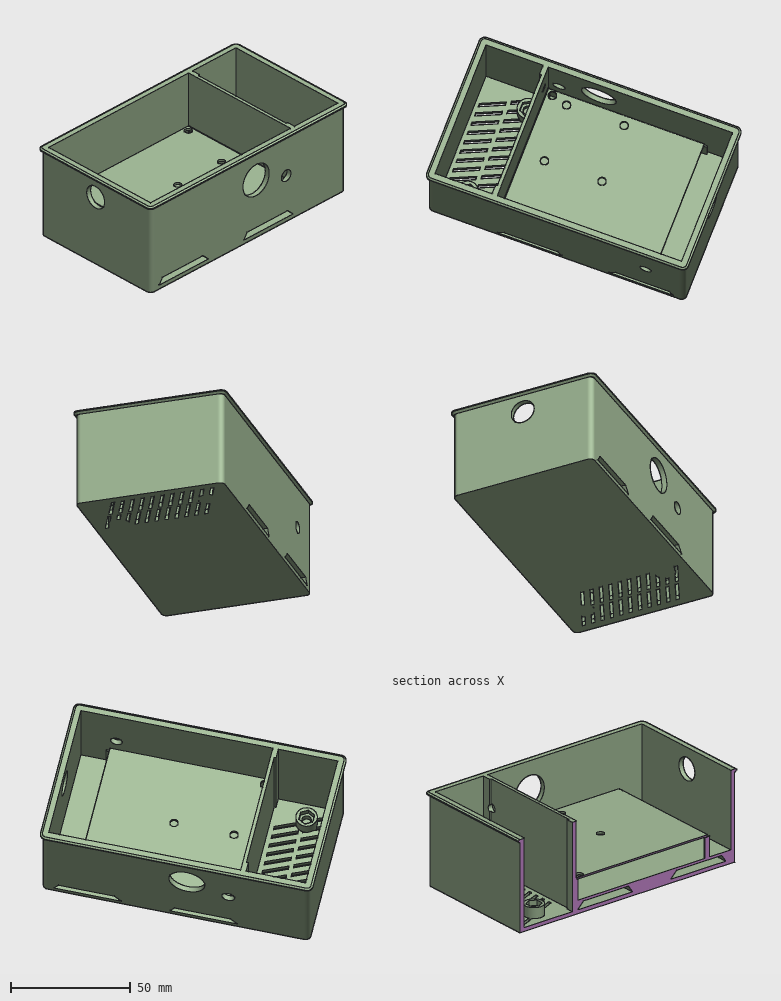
import cadquery as cq
import math

RIM_WIDTH = 67.4
RIM_LENGTH = 117.0
HEIGHT = 43.0
RIM_OVERHANG = 1.03
RIM_FLARE_HEIGHT = 0.8
RIM_BAND_HEIGHT = 0.5
RIM_CROWN_HEIGHT = 0.5
RIM_CROWN_INSET = 0.88
CORNER_RADIUS = 2.3
RIM_CORNER_RADIUS = 2.6

BODY_WIDTH = RIM_WIDTH - 2 * RIM_OVERHANG
BODY_LENGTH = RIM_LENGTH - 2 * RIM_OVERHANG
WALL = 2.3
FLOOR = 2.0
FRONT_FLOOR = 6.4
CAVITY_WIDTH = BODY_WIDTH - 2 * WALL
CAVITY_LENGTH = BODY_LENGTH - 2 * WALL

DIVIDER_FRONT_Y = 27.3
DIVIDER_THICKNESS = 1.5
DIVIDER_END_THICKNESS = 2.3
DIVIDER_END_LENGTH = 4.2
DIVIDER_STEP = 0.4
DIVIDER_HOLE_DIAMETER = 3.5
DIVIDER_HOLE_X = 25.3
DIVIDER_HOLE_Z = 29.7

FRONT_HOLE_DIAMETER = 10.6
FRONT_HOLE_Z = 33.1
LEFT_HOLE_DIAMETER = 5.0
LEFT_HOLE_Y = -39.9
LEFT_HOLE_Z = 23.3
RIGHT_SMALL_HOLE_DIAMETER = 5.5
RIGHT_SMALL_HOLE_Y = 22.5
RIGHT_SMALL_HOLE_Z = 22.8
RIGHT_LARGE_HOLE_DIAMETER = 15.5
RIGHT_LARGE_HOLE_Y = 4.7
RIGHT_LARGE_HOLE_Z = 28.5

STRAP_SLOT_FRONT_YS = (-2.6, -52.4)
STRAP_SLOT_LENGTH = 29.0
STRAP_SLOT_HEIGHT = 3.0
STRAP_SLOT_FRONT_TAPER = 2.0
STRAP_SLOT_REAR_TAPER = 3.0

VENT_COUNT = 11
VENT_ROW_SPAN = 43.9
VENT_PITCH = VENT_ROW_SPAN / (VENT_COUNT - 1)
VENT_WIDTH = 1.5
VENT_LENGTH = 10.3
VENT_SLANT = 4.6
VENT_ROW_CORNERS = ((-27.3, 53.5), (-21.5, 41.2))

BOSS_CENTERS = ((-21.5, 43.8), (21.5, 33.1))
BOSS_DIAMETER = 9.0
BOSS_HEIGHT = 5.0
NUT_ACROSS_FLATS = 6.0
NUT_DEPTH = 2.5
SCREW_DIAMETER = 4.0

PLATE_WIDTH = 60.0
PLATE_LENGTH = 69.6
PLATE_THICKNESS = 1.0
PLATE_TOP_Z = 17.0
PLATE_HOLE_DIAMETER = 3.5
PLATE_HOLES = ((-27.5, 24.3), (27.5, 24.3), (-0.7, 17.3), (25.6, 17.3), (-0.7, -8.4), (25.6, -8.4))
PLATE_X = -0.18
PLATE_REAR_Y = DIVIDER_FRONT_Y - DIVIDER_STEP
PLATE_FRONT_Y = PLATE_REAR_Y - PLATE_LENGTH
PLATE_BOTTOM_Z = PLATE_TOP_Z - PLATE_THICKNESS

POST_WIDTH = 0.7
POST_X = 29.4
REAR_POST_LENGTH = 0.9
FRONT_POST_LENGTH = 2.8


def block(x_min, x_max, y_min, y_max, z_min, z_max):
    """Axis-aligned block between the given limits."""
    size = (x_max - x_min, y_max - y_min, z_max - z_min)
    return cq.Workplane("XY").box(*size, centered=False).translate((x_min, y_min, z_min))


def rounded_face(overhang, corner_radius, z):
    """Rounded rectangle at height z, larger than the wall outline by the overhang on every side."""
    sketch = cq.Sketch().rect(BODY_WIDTH + 2 * overhang, BODY_LENGTH + 2 * overhang)
    return cq.Workplane("XY", origin=(0, 0, z)).placeSketch(sketch.vertices().fillet(corner_radius))


def make_shell():
    """Outer walls with the flared rim, still solid inside."""
    flare_z = HEIGHT - RIM_CROWN_HEIGHT - RIM_BAND_HEIGHT - RIM_FLARE_HEIGHT
    walls = rounded_face(0, CORNER_RADIUS, 0).extrude(flare_z)
    rim = rounded_face(RIM_OVERHANG, RIM_CORNER_RADIUS, flare_z).extrude(HEIGHT - flare_z)
    rim = rim.faces(">Z").chamfer(RIM_CROWN_HEIGHT, RIM_CROWN_INSET)
    rim = rim.faces("<Z").chamfer(RIM_FLARE_HEIGHT, RIM_OVERHANG)
    return walls.union(rim)


def make_compartments():
    """Space of the front compartment, above its stepped divider, and of the rear compartment."""
    half_width = CAVITY_WIDTH / 2
    half_length = CAVITY_LENGTH / 2
    middle_half = half_width - DIVIDER_END_LENGTH
    rear_y = DIVIDER_FRONT_Y + DIVIDER_THICKNESS
    rear_end_y = DIVIDER_FRONT_Y + DIVIDER_END_THICKNESS
    front = block(-half_width, half_width, -half_length, DIVIDER_FRONT_Y, FRONT_FLOOR, HEIGHT)
    divider_step = block(-half_width, half_width, PLATE_REAR_Y, DIVIDER_FRONT_Y, FRONT_FLOOR, PLATE_TOP_Z)
    rear = block(-half_width, half_width, rear_end_y, half_length, FLOOR, HEIGHT)
    rear_middle = block(-middle_half, middle_half, rear_y, half_length, FLOOR, HEIGHT)
    return front.cut(divider_step).union(rear.union(rear_middle))


def hole_along_x(diameter, y, z, x_side):
    """Hole cutter through one side wall; x_side is -1 or +1."""
    start = CAVITY_WIDTH / 2 - WALL / 2
    plane = cq.Workplane("YZ", origin=(x_side * start, y, z))
    return plane.circle(diameter / 2).extrude(x_side * 2 * WALL)


def hole_along_y(diameter, x, z, y_start, length):
    """Hole cutter running rearward from y_start."""
    return cq.Workplane("XZ", origin=(x, y_start, z)).circle(diameter / 2).extrude(-length)


def strap_slot(front_y):
    """Trapezoidal tunnel cutter crossing the full width."""
    rear_y = front_y + STRAP_SLOT_LENGTH
    top_z = FLOOR + STRAP_SLOT_HEIGHT
    outline = [
        (front_y, FLOOR),
        (rear_y, FLOOR),
        (rear_y - STRAP_SLOT_REAR_TAPER, top_z),
        (front_y + STRAP_SLOT_FRONT_TAPER, top_z),
    ]
    return cq.Workplane("YZ").polyline(outline).close().extrude(BODY_WIDTH, both=True)


def vent_slot(x, y):
    """Slanted floor slot cutter with its rear left corner at (x, y)."""
    outline = [
        (x, y),
        (x + VENT_WIDTH, y),
        (x + VENT_WIDTH + VENT_SLANT, y - VENT_LENGTH),
        (x + VENT_SLANT, y - VENT_LENGTH),
    ]
    return cq.Workplane("XY").polyline(outline).close().extrude(FLOOR)


def make_bosses():
    """Two round bosses, kept from reaching past the divider."""
    discs = cq.Workplane("XY").pushPoints(BOSS_CENTERS).circle(BOSS_DIAMETER / 2)
    bosses = discs.extrude(FLOOR + BOSS_HEIGHT)
    half_width = CAVITY_WIDTH / 2
    divider_middle_y = DIVIDER_FRONT_Y + DIVIDER_THICKNESS / 2
    room = block(-half_width, half_width, divider_middle_y, CAVITY_LENGTH / 2, 0, HEIGHT)
    return bosses.intersect(room)


def make_boss_recesses():
    """Hexagonal nut pockets with blind screw holes below them."""
    boss_top = FLOOR + BOSS_HEIGHT
    top = cq.Workplane("XY", origin=(0, 0, boss_top)).pushPoints(BOSS_CENTERS)
    nuts = top.polygon(6, NUT_ACROSS_FLATS / math.cos(math.pi / 6)).extrude(-NUT_DEPTH)
    base = cq.Workplane("XY", origin=(0, 0, FLOOR)).pushPoints(BOSS_CENTERS)
    screws = base.circle(SCREW_DIAMETER / 2).extrude(BOSS_HEIGHT)
    return nuts.union(screws)


def make_posts():
    """Posts rising from the raised floor to the underside of the plate."""
    front_y = PLATE_FRONT_Y - FRONT_POST_LENGTH / 2
    rear_y = DIVIDER_FRONT_Y - REAR_POST_LENGTH
    posts = cq.Workplane("XY")
    for x in (-POST_X, POST_X):
        left_x = x - POST_WIDTH / 2
        right_x = x + POST_WIDTH / 2
        front_end_y = front_y + FRONT_POST_LENGTH
        posts = posts.add(block(left_x, right_x, front_y, front_end_y, FRONT_FLOOR, PLATE_BOTTOM_Z))
        posts = posts.add(block(left_x, right_x, rear_y, DIVIDER_FRONT_Y, FRONT_FLOOR, PLATE_BOTTOM_Z))
    return posts.combine()


def make_housing():
    """Box with two compartments, vents, bosses, strap tunnels and wall holes."""
    housing = make_shell().cut(make_compartments()).union(make_posts())
    for corner_x, corner_y in VENT_ROW_CORNERS:
        for index in range(VENT_COUNT):
            housing = housing.cut(vent_slot(corner_x + index * VENT_PITCH, corner_y))
    housing = housing.union(make_bosses()).cut(make_boss_recesses())
    for front_y in STRAP_SLOT_FRONT_YS:
        housing = housing.cut(strap_slot(front_y))
    housing = housing.cut(hole_along_x(LEFT_HOLE_DIAMETER, LEFT_HOLE_Y, LEFT_HOLE_Z, -1))
    housing = housing.cut(hole_along_x(RIGHT_SMALL_HOLE_DIAMETER, RIGHT_SMALL_HOLE_Y, RIGHT_SMALL_HOLE_Z, 1))
    housing = housing.cut(hole_along_x(RIGHT_LARGE_HOLE_DIAMETER, RIGHT_LARGE_HOLE_Y, RIGHT_LARGE_HOLE_Z, 1))
    housing = housing.cut(hole_along_y(FRONT_HOLE_DIAMETER, 0, FRONT_HOLE_Z, -BODY_LENGTH / 2, WALL))
    divider_hole = hole_along_y(
        DIVIDER_HOLE_DIAMETER, DIVIDER_HOLE_X, DIVIDER_HOLE_Z, DIVIDER_FRONT_Y, DIVIDER_END_THICKNESS
    )
    return housing.cut(divider_hole)


def make_plate():
    """Flat plate with mounting holes."""
    left_x = PLATE_X - PLATE_WIDTH / 2
    plate = block(left_x, left_x + PLATE_WIDTH, PLATE_FRONT_Y, PLATE_REAR_Y, PLATE_BOTTOM_Z, PLATE_TOP_Z)
    holes = cq.Workplane("XY", origin=(0, 0, PLATE_BOTTOM_Z)).pushPoints(PLATE_HOLES)
    return plate.cut(holes.circle(PLATE_HOLE_DIAMETER / 2).extrude(PLATE_THICKNESS))


housing = make_housing()
plate = make_plate()
result = cq.Compound.makeCompound([housing.val(), plate.val()])